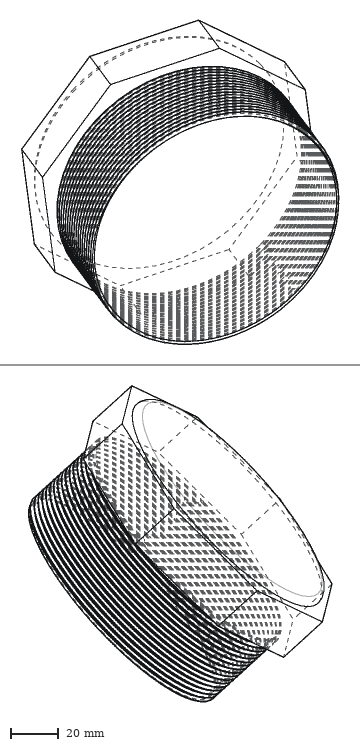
import cadquery as cq
import math

total_length = 65.0
cap_diameter = 113.0
cap_height = 3.0
head_sides = 8
head_across_flats = 120.0
head_width = 23.0
head_turn = 15.9
core_diameter = 110.02

thread_diameter = cap_diameter
thread_pitch = 25.4 / 11
crest_width = 0.4
root_width = 2.0
first_crest_gap = 0.9
fit_clearance = 0.005
spare_turns = 1

core_start = cap_height + head_width
core_length = total_length - core_start
core_radius = core_diameter / 2
thread_radius = thread_diameter / 2
root_radius = core_radius + fit_clearance


def make_cap():
    face_radius = cap_diameter / 2 - cap_height
    rim_angle = math.radians(45)
    rim_middle = (
        cap_height * (1 - math.cos(rim_angle)),
        face_radius + cap_height * math.sin(rim_angle),
    )
    return (
        cq.Workplane("XY")
        .lineTo(0, face_radius)
        .threePointArc(rim_middle, (cap_height, cap_diameter / 2))
        .lineTo(cap_height, 0)
        .close()
        .revolve(360, (0, 0, 0), (1, 0, 0))
    )


def make_head():
    corner_diameter = head_across_flats / math.cos(math.pi / head_sides)
    return (
        cq.Workplane("YZ", origin=(cap_height, 0, 0))
        .polygon(head_sides, corner_diameter)
        .extrude(head_width)
        .rotate((0, 0, 0), (1, 0, 0), -head_turn)
    )


def make_round_bar(radius):
    """Round bar covering the length of the core."""
    return cq.Workplane("YZ", origin=(core_start, 0, 0)).circle(radius).extrude(core_length)


def make_plug():
    return make_cap().union(make_head()).union(make_round_bar(core_radius))


def make_thread():
    spare_length = spare_turns * thread_pitch
    helix_start = core_start + first_crest_gap - spare_length
    helix = cq.Wire.makeHelix(
        thread_pitch,
        core_length + 2 * spare_length,
        root_radius,
        cq.Vector(helix_start, 0, 0),
        cq.Vector(1, 0, 0),
    )
    ridge = (
        cq.Workplane("XZ", origin=(helix_start, 0, 0))
        .moveTo(-root_width / 2, root_radius)
        .lineTo(-crest_width / 2, thread_radius)
        .lineTo(crest_width / 2, thread_radius)
        .lineTo(root_width / 2, root_radius)
        .close()
        .sweep(cq.Workplane(helix), isFrenet=True)
    )
    trim_radius = thread_radius + thread_pitch
    return ridge.intersect(make_round_bar(trim_radius))


plug = make_plug()
thread = make_thread()

result = cq.Compound.makeCompound([plug.val(), *thread.solids().vals()])